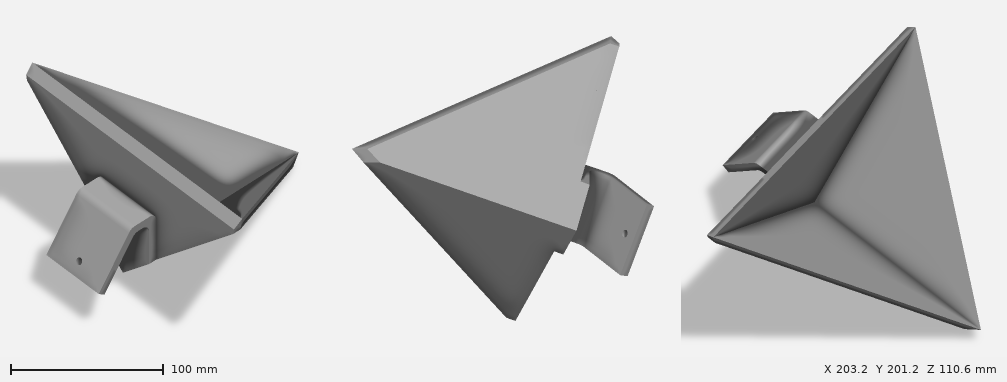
import cadquery as cq
import math


ROOT_2 = math.sqrt(2)
ROOT_3 = math.sqrt(3)

rim_width = 203.2
plate_thickness = 6.35
bracket_width = 50.8
bracket_height = 67.6
strap_to_arm = 12.7
arm_length = 49.9
bend_radius = 6.35
insert_diameter = 6.35
insert_bore = 5.1
insert_from_arm_end = 10.16

leg = rim_width / ROOT_2
bevel_setback = plate_thickness * ROOT_2
valley_height = plate_thickness * ROOT_2
rim_height = rim_width / 2 + valley_height
shoulder = (leg - bevel_setback + plate_thickness) / ROOT_2

left_slope = cq.Plane(origin=(0, 0, valley_height), xDir=(-1, 0, 1), normal=(-1, 0, -1))
valley_tip = (0, leg, valley_height)

arm_slope = math.atan(ROOT_2)
arm_direction = cq.Vector(0, -math.cos(arm_slope), -math.sin(arm_slope))
arm_outward = cq.Vector(0, -math.sin(arm_slope), math.cos(arm_slope))
bracket_back = -plate_thickness
bracket_front = bracket_back - plate_thickness
inner_bend_setback = plate_thickness * math.tan(arm_slope / 2)
arm_corner = cq.Vector(0, bracket_front - strap_to_arm - inner_bend_setback, bracket_height)


def cut_beyond(body, origin, normal):
    """Remove what lies on the normal's side of the plane through the origin point."""
    cutter_size = 4 * rim_width
    plane = cq.Plane(origin=origin, normal=normal)
    return body.cut(cq.Workplane(plane).rect(cutter_size, cutter_size).extrude(cutter_size))


def along_left_slope(climb, along_valley, outward):
    """World direction from components up the slope, along the valley and out of the plate."""
    return left_slope.xDir * climb + left_slope.yDir * along_valley + left_slope.zDir * outward


def left_side_plate(outline):
    """Plate on the -X slope: local X climbs the slope, local Y is +Y, and the long edge is bevelled."""
    plate = cq.Workplane(left_slope).polyline(outline).close().extrude(plate_thickness)
    bevel_normal = along_left_slope(1, 1, ROOT_2)
    return cut_beyond(plate, valley_tip, bevel_normal)


def make_butting_plate():
    """-X side plate, which ends on the other side plate along the valley."""
    return left_side_plate([(0, 0), (leg, 0), (0, leg)])


def make_lapping_plate():
    """+X side plate, which runs on under the -X plate and has a bevelled tip there."""
    lap = plate_thickness
    outline = [(-lap, 0), (leg, 0), (0, leg), (-lap, leg - bevel_setback)]
    tip_bevel_normal = along_left_slope(-ROOT_2, 1, ROOT_3)
    plate = cut_beyond(left_side_plate(outline), valley_tip, tip_bevel_normal)
    return plate.mirror("YZ")


def make_back_plate():
    """Plate across the ends of both side plates, with its top edge bevelled."""
    half_rim = rim_width / 2
    outline = [
        (0, 0),
        (shoulder, shoulder),
        (half_rim, rim_height),
        (-half_rim, rim_height),
        (-shoulder, shoulder),
    ]
    plate = cq.Workplane("XZ").polyline(outline).close().extrude(plate_thickness)
    return cut_beyond(plate, (0, 0, rim_height), cq.Vector(0, -1, 1))


def make_bracket():
    """Upright strap, flat top and sloping arm, with the strap's foot cut to the reflector's V."""
    underside = bracket_height - plate_thickness
    arm_end = arm_corner + arm_direction * arm_length
    arm_end_inner = arm_end - arm_outward * plate_thickness
    strap_bend = (bracket_back, bracket_height)
    strap_bend_inner = (bracket_front, underside)
    arm_bend = (arm_corner.y, arm_corner.z)
    arm_bend_inner = (arm_corner.y + inner_bend_setback, underside)
    outline = [
        (bracket_back, 0),
        strap_bend,
        arm_bend,
        (arm_end.y, arm_end.z),
        (arm_end_inner.y, arm_end_inner.z),
        arm_bend_inner,
        strap_bend_inner,
        (bracket_front, 0),
    ]
    bracket = cq.Workplane("YZ").polyline(outline).close().extrude(bracket_width / 2, both=True)
    for y, z in (strap_bend, arm_bend, arm_bend_inner, strap_bend_inner):
        bend_edge = cq.selectors.NearestToPointSelector((0, y, z))
        bracket = bracket.edges("|X").edges(bend_edge).fillet(bend_radius)

    return bracket.cut(make_foot_trim()).cut(make_arm_plug(insert_diameter))


def make_foot_trim():
    """Material of the strap's foot that lies outside the reflector's V."""
    foot = cq.Workplane("XY", origin=(0, bracket_front, 0)).box(
        bracket_width, plate_thickness, bracket_width / 2, centered=(True, False, False)
    )
    inside_v = foot
    for side in (-1, 1):
        inside_v = cut_beyond(inside_v, (0, 0, 0), cq.Vector(side, 0, -1))
    return foot.cut(inside_v)


def make_arm_plug(diameter):
    """Cylinder filling the arm's thickness, square to it, near its end."""
    centre = arm_corner + arm_direction * (arm_length - insert_from_arm_end)
    face = cq.Plane(origin=centre, xDir=(1, 0, 0), normal=arm_outward)
    return cq.Workplane(face).circle(diameter / 2).extrude(-plate_thickness)


def make_insert():
    """Plain tube flush with both faces of the arm."""
    return make_arm_plug(insert_diameter).cut(make_arm_plug(insert_bore))


butting_plate = make_butting_plate()
lapping_plate = make_lapping_plate()
back_plate = make_back_plate()
bracket = make_bracket()
insert = make_insert()

result = cq.Compound.makeCompound([
    butting_plate.val(),
    lapping_plate.val(),
    back_plate.val(),
    bracket.val(),
    insert.val(),
])